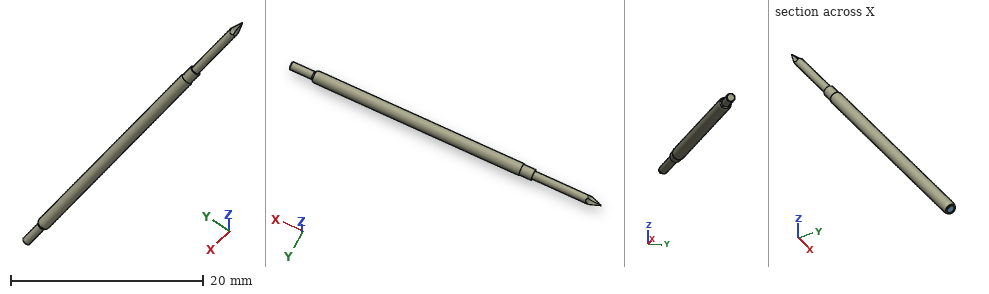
import cadquery as cq

PLUNGER_DIAMETER = 0.92
COLLAR_DIAMETER = 1.23
BARREL_DIAMETER = 1.37
TAIL_DIAMETER = 0.92

BLADE_END = 1.2
FLARE_END = 1.65
COLLAR_START = 7.78
BARREL_START = 9.17
BARREL_END = 33.09
TOTAL_LENGTH = 35.81

BARREL_FRONT_ROUND_LENGTH = 0.14
BARREL_FRONT_DROP = 0.04
BARREL_REAR_ROUND_LENGTH = 0.38
BARREL_REAR_DROP = 0.1
TAIL_NECK_LENGTH = 0.16
TAIL_NECK_DEPTH = 0.03
TAIL_CHAMFER = 0.08

POINT_RADIUS = 0.03
POINT_HALF_WIDTH = 0.08
POINT_HALF_HEIGHT = 0.05
BLADE_HALF_WIDTH = 0.52
BLADE_HALF_HEIGHT = 0.2
FLARE_HALF_WIDTH = 0.73
FLARE_HALF_HEIGHT = 0.6


def turned_body():
    """Revolve the stepped pin profile about the X axis."""
    plunger_radius = PLUNGER_DIAMETER / 2
    collar_radius = COLLAR_DIAMETER / 2
    barrel_radius = BARREL_DIAMETER / 2
    tail_radius = TAIL_DIAMETER / 2
    neck_radius = tail_radius - TAIL_NECK_DEPTH
    front_round_end = BARREL_START + BARREL_FRONT_ROUND_LENGTH
    front_arc_middle = (
        BARREL_START + BARREL_FRONT_ROUND_LENGTH / 2,
        barrel_radius - BARREL_FRONT_DROP / 4,
    )
    rear_round_start = BARREL_END - BARREL_REAR_ROUND_LENGTH
    profile = (
        cq.Workplane("XY")
        .moveTo(0, 0)
        .lineTo(0, POINT_RADIUS)
        .lineTo(BLADE_END, plunger_radius)
        .lineTo(COLLAR_START, plunger_radius)
        .lineTo(COLLAR_START, collar_radius)
        .lineTo(BARREL_START, collar_radius)
        .lineTo(BARREL_START, barrel_radius - BARREL_FRONT_DROP)
        .threePointArc(front_arc_middle, (front_round_end, barrel_radius))
        .lineTo(rear_round_start, barrel_radius)
        .tangentArcPoint((BARREL_END, barrel_radius - BARREL_REAR_DROP), relative=False)
        .lineTo(BARREL_END, neck_radius)
        .lineTo(BARREL_END + TAIL_NECK_LENGTH, neck_radius)
        .lineTo(BARREL_END + TAIL_NECK_LENGTH, tail_radius)
        .lineTo(TOTAL_LENGTH - TAIL_CHAMFER, tail_radius)
        .lineTo(TOTAL_LENGTH, tail_radius - TAIL_CHAMFER)
        .lineTo(TOTAL_LENGTH, 0)
        .close()
    )
    return profile.revolve(360, (0, 0, 0), (1, 0, 0))


def diamond_wire(station, half_width, half_height):
    """Diamond section across the axis with its corners on the Y and Z axes."""
    corners = [
        cq.Vector(station, half_width, 0),
        cq.Vector(station, 0, half_height),
        cq.Vector(station, -half_width, 0),
        cq.Vector(station, 0, -half_height),
    ]
    return cq.Wire.makePolygon(corners, close=True)


def tip_envelope():
    """Diamond blade followed by the faceted flare up to the full plunger."""
    point = diamond_wire(0, POINT_HALF_WIDTH, POINT_HALF_HEIGHT)
    blade_root = diamond_wire(BLADE_END, BLADE_HALF_WIDTH, BLADE_HALF_HEIGHT)
    flare_root = diamond_wire(FLARE_END, FLARE_HALF_WIDTH, FLARE_HALF_HEIGHT)
    blade = cq.Solid.makeLoft([point, blade_root], True)
    flare = cq.Solid.makeLoft([blade_root, flare_root], True)
    return cq.Workplane(blade).union(cq.Workplane(flare))


def shape_tip(pin):
    """Cut the four faces of the blade and flare into the conical point."""
    front = cq.Workplane("YZ").rect(BARREL_DIAMETER, BARREL_DIAMETER).extrude(FLARE_END)
    waste = front.cut(tip_envelope())
    return pin.cut(waste)


result = shape_tip(turned_body())